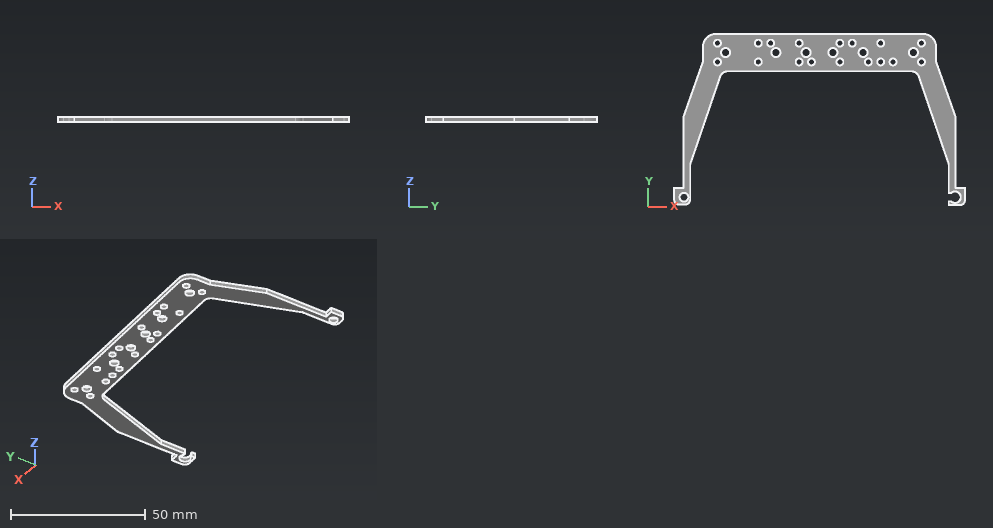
import cadquery as cq

thickness = 2.0

bar_half_width = 43.5
bar_half_height = 7.0
bar_corner_radius = 5.0
inner_corner_radius = 3.0

arm_outer_x = 50.75
arm_inner_x = 48.15
arm_outer_top_y = -3.5
arm_outer_bend_y = -24.0
arm_inner_bend_y = -41.7
inner_corner_x = 36.3

foot_outer_x = 54.25
foot_top_y = -50.4
foot_corner_radius = 2.0
closed_foot_bottom_y = -56.7
open_foot_bottom_y = -56.9

pivot_x = 50.5
pivot_y = -53.9
pivot_hole_diameter = 3.2
clip_hole_diameter = 4.2
clip_slot_width = 3.0

small_hole_diameter = 2.5
small_hole_row_y = 3.5
small_hole_pitch = 15.2
small_hole_columns = 6
extra_hole_offset = 4.6
large_hole_diameter = 3.3
large_hole_distances = (5.0, 16.25, 35.0)

first_column_x = -small_hole_pitch * (small_hole_columns - 1) / 2
column_x = [first_column_x + i * small_hole_pitch for i in range(small_hole_columns)]


def arm_points(side, foot_bottom_y):
    """Outline of one arm from the bar top to the inner bar corner; side is -1 (left) or +1 (right)."""
    points = [
        (bar_half_width, bar_half_height),
        (bar_half_width, arm_outer_top_y),
        (arm_outer_x, arm_outer_bend_y),
        (arm_outer_x, foot_top_y),
        (foot_outer_x, foot_top_y),
        (foot_outer_x, foot_bottom_y),
        (arm_inner_x, foot_bottom_y),
        (arm_inner_x, arm_inner_bend_y),
        (inner_corner_x, -bar_half_height),
    ]
    return [(side * x, y) for x, y in points]


def round_corner(body, x, y, radius):
    """Fillet the upright edge that stands at (x, y)."""
    edge = cq.selectors.NearestToPointSelector((x, y, thickness / 2))
    return body.edges("|Z").edges(edge).fillet(radius)


def make_frame():
    """Flat frame: a bar with two bent arms that end in feet."""
    right_arm = arm_points(1, open_foot_bottom_y)
    left_arm = arm_points(-1, closed_foot_bottom_y)
    outline = right_arm + left_arm[::-1]
    body = cq.Workplane("XY").polyline(outline).close().extrude(thickness)
    for side in (-1, 1):
        body = round_corner(body, side * bar_half_width, bar_half_height, bar_corner_radius)
        body = round_corner(body, side * inner_corner_x, -bar_half_height, inner_corner_radius)
    body = round_corner(body, -foot_outer_x, closed_foot_bottom_y, foot_corner_radius)
    body = round_corner(body, -arm_inner_x, closed_foot_bottom_y, foot_corner_radius)
    body = round_corner(body, foot_outer_x, open_foot_bottom_y, foot_corner_radius)
    return body


def through_holes(points, diameter):
    """Round cutters through the full thickness."""
    return cq.Workplane("XY").pushPoints(points).circle(diameter / 2).extrude(thickness)


def small_holes():
    """Two rows of small holes, with extra ones set off sideways from some columns."""
    upper_x = column_x + [column_x[1] + extra_hole_offset, column_x[3] + extra_hole_offset]
    lower_x = column_x + [
        column_x[2] + extra_hole_offset,
        column_x[4] - extra_hole_offset,
        column_x[4] + extra_hole_offset,
    ]
    upper = [(x, small_hole_row_y) for x in upper_x]
    lower = [(x, -small_hole_row_y) for x in lower_x]
    return through_holes(upper + lower, small_hole_diameter)


def large_holes():
    """Middle row of larger holes, mirrored about X = 0."""
    points = [(side * x, 0) for side in (-1, 1) for x in large_hole_distances]
    return through_holes(points, large_hole_diameter)


def clip_opening():
    """Round seat in the right foot with a slot open towards the inside."""
    seat = through_holes([(pivot_x, pivot_y)], clip_hole_diameter)
    slot_length = pivot_x - arm_inner_x
    slot = (
        cq.Workplane("XY")
        .center(pivot_x - slot_length / 2, pivot_y)
        .rect(slot_length, clip_slot_width)
        .extrude(thickness)
    )
    return seat.union(slot)


result = (
    make_frame()
    .cut(small_holes())
    .cut(large_holes())
    .cut(through_holes([(-pivot_x, pivot_y)], pivot_hole_diameter))
    .cut(clip_opening())
)